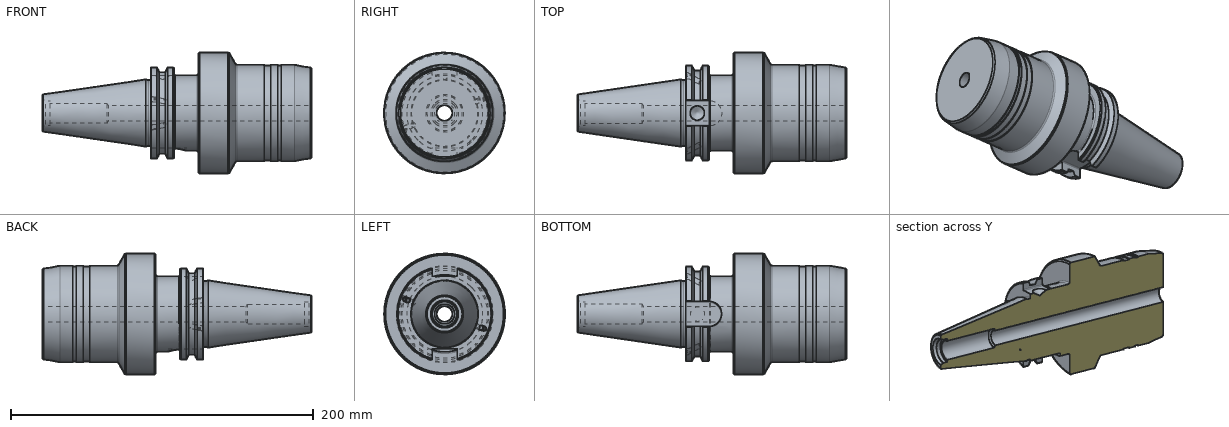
import cadquery as cq
import math

length = 178.2

taper_end = 68.5
taper_end_radius = 22.3
taper_slope = 7 / 48
taper_chamfer = 0.7
relief_radius = 43.7 / 2
relief_start = 70.0
relief_fillet = 0.4

flange_start = 71.7
flange_end = 87.2
flange_radius = 63.0 / 2
rear_chamfer_length = 0.5
front_chamfer_length = 0.9
flange_chamfer_depth = 0.7
groove_radius = 28.2
groove_start = 75.8
groove_floor_start = 77.5
groove_floor_end = 81.3
groove_end = 83.0

neck_radius = 50.0 / 2
neck_fillet = 0.9

collar_start = 103.0
collar_end = 123.7
collar_radius = 80.0 / 2
collar_chamfer = 1.0
collar_front_chamfer_depth = 0.4
collar_cone_end = 128.0
collar_blend_radius = 1.0

body_radius = 64.0 / 2
ring_grooves = [(146.7, 151.0), (155.8, 158.0)]
ring_groove_depth = 0.5
nose_start = 166.5
nose_radius = 30.1
nose_chamfer = 1.0

mouth_radius = 18.4 / 2
mouth_depth = 2.1
counterbore_radius = 16.2 / 2
counterbore_depth = 5.2
thread_bore_radius = 13.2 / 2
thread_bore_depth = 42.8
through_bore_radius = 10.2 / 2
drill_tip_half_angle = math.radians(59)

slot_width = 16.5
slot_corner_fillet = 0.5
slot_edge_chamfer = 0.5
upper_slot_floor = 25.0
lower_slot_floor = 22.8
dimple_radius = 9.5 / 2
dimple_x = (flange_start + flange_end) / 2

coolant_radius = 3.2 / 2
coolant_angle = 20.5
axial_hole_offset = 26.0
axial_hole_depth = 3.5
inclined_hole_offset = 27.5
inclined_hole_depth = 10.7
inclined_hole_tilt = 30.0


def turned_body():
    taper_start_radius = taper_end_radius - taper_slope * taper_end
    profile = (
        cq.Workplane("XY")
        .moveTo(0, 0)
        .lineTo(0, taper_start_radius - taper_chamfer)
        .lineTo(taper_chamfer, taper_start_radius + taper_slope * taper_chamfer)
        .lineTo(taper_end, taper_end_radius)
        .lineTo(relief_start, relief_radius)
        .lineTo(flange_start - relief_fillet, relief_radius)
        .radiusArc((flange_start, relief_radius + relief_fillet), -relief_fillet)
        .lineTo(flange_start, flange_radius - flange_chamfer_depth)
        .lineTo(flange_start + rear_chamfer_length, flange_radius)
        .lineTo(groove_start, flange_radius)
        .lineTo(groove_floor_start, groove_radius)
        .lineTo(groove_floor_end, groove_radius)
        .lineTo(groove_end, flange_radius)
        .lineTo(flange_end - front_chamfer_length, flange_radius)
        .lineTo(flange_end, flange_radius - flange_chamfer_depth)
        .lineTo(flange_end, neck_radius + neck_fillet)
        .radiusArc((flange_end + neck_fillet, neck_radius), -neck_fillet)
        .lineTo(collar_start - neck_fillet, neck_radius)
        .radiusArc((collar_start, neck_radius + neck_fillet), -neck_fillet)
        .lineTo(collar_start, collar_radius - collar_chamfer)
        .lineTo(collar_start + collar_chamfer, collar_radius)
        .lineTo(collar_end - collar_chamfer, collar_radius)
        .lineTo(collar_end, collar_radius - collar_front_chamfer_depth)
        .lineTo(collar_cone_end, body_radius)
        .lineTo(nose_start, body_radius)
        .lineTo(length - nose_chamfer, nose_radius)
        .lineTo(length, nose_radius - nose_chamfer)
        .lineTo(length, 0)
        .close()
    )
    body = profile.revolve(360, (0, 0, 0), (1, 0, 0))
    reach = collar_blend_radius
    cone_foot = cq.selectors.BoxSelector(
        (collar_cone_end - reach, -reach, -reach), (collar_cone_end + reach, reach, reach)
    )
    return body.edges(cone_foot).fillet(collar_blend_radius)


def ring_groove(start, end):
    floor_radius = body_radius - ring_groove_depth
    return (
        cq.Workplane("YZ", origin=(start, 0, 0))
        .circle(collar_radius)
        .circle(floor_radius)
        .extrude(end - start)
    )


def bore():
    tip_length = (thread_bore_radius - through_bore_radius) / math.tan(drill_tip_half_angle)
    profile = (
        cq.Workplane("XY")
        .moveTo(0, 0)
        .lineTo(0, mouth_radius)
        .lineTo(mouth_depth, counterbore_radius)
        .lineTo(counterbore_depth, counterbore_radius)
        .lineTo(counterbore_depth, thread_bore_radius)
        .lineTo(thread_bore_depth, thread_bore_radius)
        .lineTo(thread_bore_depth + tip_length, through_bore_radius)
        .lineTo(length, through_bore_radius)
        .lineTo(length, 0)
        .close()
    )
    return profile.revolve(360, (0, 0, 0), (1, 0, 0))


def drive_slot(floor):
    """Slot across the top of the flange."""
    return (
        cq.Workplane("XY", origin=(flange_start, 0, floor))
        .rect(2 * (flange_end - flange_start), slot_width)
        .extrude(collar_radius - floor)
        .edges("|X and <Z")
        .fillet(slot_corner_fillet)
    )


def slot_runout(floor):
    """Half round end where the slot cutter runs into the neck."""
    return (
        cq.Workplane("XY", origin=(flange_end, 0, floor))
        .circle(slot_width / 2)
        .extrude(collar_radius - floor)
        .faces("<Z")
        .edges()
        .fillet(slot_corner_fillet)
    )


def slot_edge_bevel():
    """Wedge that breaks both upper edges of a slot along the flange rim."""
    half_width = slot_width / 2
    rim_height = math.sqrt(flange_radius**2 - half_width**2)
    top_half_width = half_width + slot_edge_chamfer + collar_radius - rim_height
    return (
        cq.Workplane("YZ", origin=(flange_start, 0, 0))
        .moveTo(-half_width, rim_height - slot_edge_chamfer)
        .lineTo(half_width, rim_height - slot_edge_chamfer)
        .lineTo(top_half_width, collar_radius)
        .lineTo(-top_half_width, collar_radius)
        .close()
        .extrude(flange_end - flange_start)
    )


def dimple():
    depth = dimple_radius / math.tan(drill_tip_half_angle)
    tip = cq.Solid.makeCone(
        dimple_radius, 0, depth, cq.Vector(dimple_x, 0, upper_slot_floor), cq.Vector(0, 0, -1)
    )
    return cq.Workplane(tip)


def coolant_hole(turn):
    """Axial drilled hole merged with a hole sloping in towards the axis, on the +Y side before turning."""
    tip_length = coolant_radius / math.tan(drill_tip_half_angle)
    axial_start = cq.Vector(flange_start, axial_hole_offset, 0)
    axial_end = axial_start + cq.Vector(axial_hole_depth, 0, 0)
    along_x = cq.Vector(1, 0, 0)
    axial = cq.Workplane(cq.Solid.makeCylinder(coolant_radius, axial_hole_depth, axial_start, along_x))
    tip = cq.Workplane(cq.Solid.makeCone(coolant_radius, 0, tip_length, axial_end, along_x))
    tilt = math.radians(inclined_hole_tilt)
    direction = cq.Vector(math.cos(tilt), -math.sin(tilt), 0)
    entry = cq.Vector(flange_start, inclined_hole_offset, 0)
    lead_in = 2 * coolant_radius
    inclined = cq.Workplane(
        cq.Solid.makeCylinder(
            coolant_radius, inclined_hole_depth + lead_in, entry - direction * lead_in, direction
        )
    )
    return axial.union(tip).union(inclined).rotate((0, 0, 0), (1, 0, 0), turn)


result = turned_body().cut(bore())
for groove_limits in ring_grooves:
    result = result.cut(ring_groove(*groove_limits))

upper_slot = drive_slot(upper_slot_floor).union(slot_edge_bevel())
lower_slot = drive_slot(lower_slot_floor).union(slot_edge_bevel()).union(slot_runout(lower_slot_floor))
result = result.cut(upper_slot)
result = result.cut(lower_slot.rotate((0, 0, 0), (1, 0, 0), 180))
result = result.cut(dimple())
for turn in (coolant_angle, coolant_angle + 180):
    result = result.cut(coolant_hole(turn))